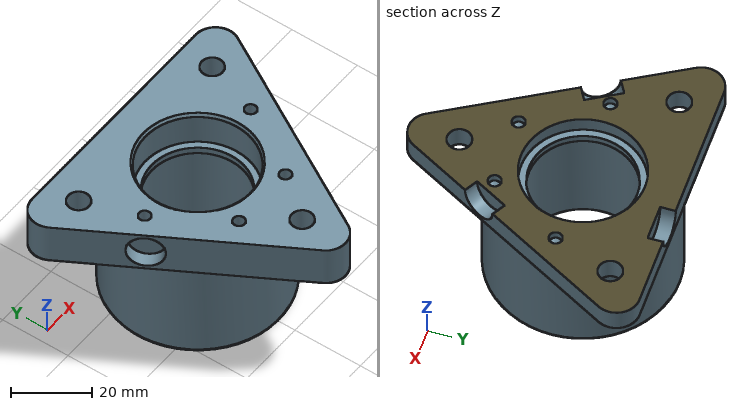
import cadquery as cq
import math

plate_width = 80.0
plate_thickness = 12.0
corner_radius = 6.0
overall_height = 42.0
boss_diameter = 50.0

bore_diameter = 28.0
seat_diameter = 32.0
seat_depth = 10.0
lip_thickness = 2.0

chamfer_height = 1.0
chamfer_width = 0.6

bolt_circle_radius = 32.0
bolt_hole_diameter = 6.2

tapped_circle_radius = 22.0
tapped_hole_diameter = 3.4
tapped_hole_depth = 8.0
drill_tip_angle = 118.0
tapped_pair_half_angle = 26.0

side_pocket_diameter = 10.0
side_pocket_depth = 4.0
side_pocket_offset = 10.0

corner_center_radius = (plate_width / 2 - corner_radius) / math.cos(math.radians(30))
side_distance = corner_center_radius / 2 + corner_radius
sharp_corner_radius = 2 * side_distance
corner_angles = (30, 150, 270)
side_angles = (90, 210, 330)
tapped_hole_angles = (0, 180, 270 - tapped_pair_half_angle, 270 + tapped_pair_half_angle)


def polar_point(radius, angle):
    """Point in the XY plane at a radius and an angle in degrees."""
    return (radius * math.cos(math.radians(angle)), radius * math.sin(math.radians(angle)))


def cylinder(diameter, top, height):
    """Cylinder on the Z axis reaching down from the given height."""
    return cq.Workplane("XY").workplane(offset=top).circle(diameter / 2).extrude(-height)


def revolve_profile(points):
    """Solid of revolution about Z from a closed outline of (radius, height) points."""
    return cq.Workplane("XZ").polyline(points).close().revolve(360, (0, 0, 0), (0, 1, 0))


def make_plate():
    """Equilateral triangular plate with rounded corners."""
    corners = [polar_point(sharp_corner_radius, angle) for angle in corner_angles]
    plate = cq.Workplane("XY").polyline(corners).close().extrude(-plate_thickness)
    return plate.edges("|Z").fillet(corner_radius)


def make_boss():
    """Round boss below the plate, with a steep chamfer at its lower rim."""
    radius = boss_diameter / 2
    profile = [
        (0, 0),
        (radius, 0),
        (radius, chamfer_height - overall_height),
        (radius - chamfer_width, -overall_height),
        (0, -overall_height),
    ]
    return revolve_profile(profile)


def make_bore():
    """Stepped bore: upper seat with a chamfered mouth, narrow lip, lower seat."""
    lip_bottom = -seat_depth - lip_thickness
    upper_seat = cylinder(seat_diameter, 0, seat_depth)
    lip_bore = cylinder(bore_diameter, 0, overall_height)
    lower_seat = cylinder(seat_diameter, lip_bottom, overall_height + lip_bottom)
    mouth = (
        cq.Workplane("XY")
        .circle(seat_diameter / 2 + chamfer_width)
        .workplane(offset=-chamfer_height)
        .circle(seat_diameter / 2)
        .loft()
    )
    return upper_seat.union(lip_bore).union(lower_seat).union(mouth)


def make_bolt_holes():
    """Through holes near the three corners."""
    centers = [polar_point(bolt_circle_radius, angle) for angle in corner_angles]
    return cq.Workplane("XY").pushPoints(centers).circle(bolt_hole_diameter / 2).extrude(-plate_thickness)


def make_tapped_hole(angle):
    """Blind drilled hole with a conical bottom."""
    radius = tapped_hole_diameter / 2
    tip_height = radius / math.tan(math.radians(drill_tip_angle / 2))
    profile = [
        (0, 0),
        (radius, 0),
        (radius, -tapped_hole_depth),
        (0, -tapped_hole_depth - tip_height),
    ]
    return revolve_profile(profile).translate(polar_point(tapped_circle_radius, angle) + (0,))


def make_side_pocket(angle):
    """Flat-bottomed round pocket, square to the side face at the given angle."""
    pocket = (
        cq.Workplane("YZ", origin=(side_distance, -side_pocket_offset, -plate_thickness / 2))
        .circle(side_pocket_diameter / 2)
        .extrude(-side_pocket_depth)
    )
    return pocket.rotate((0, 0, 0), (0, 0, 1), angle)


result = make_plate().union(make_boss()).cut(make_bore()).cut(make_bolt_holes())

for hole_angle in tapped_hole_angles:
    result = result.cut(make_tapped_hole(hole_angle))

for side_angle in side_angles:
    result = result.cut(make_side_pocket(side_angle))